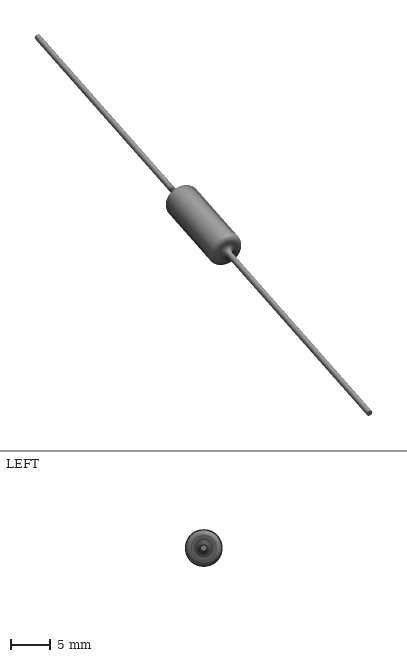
import cadquery as cq

overall_length = 88.9
body_length = 12.7
body_diameter = 4.7
body_edge_radius = 0.75
lead_diameter = 0.81
lead_root_radius = 0.75

half_length = overall_length / 2
half_body = body_length / 2
body_radius = body_diameter / 2
lead_radius = lead_diameter / 2


def half_profile():
    """Closed outline above the X axis: lead, flared root, body, flared root, lead."""
    root_start = half_body + lead_root_radius
    root_outer = lead_radius + lead_root_radius
    face_outer = body_radius - body_edge_radius
    edge_end = half_body - body_edge_radius
    return (
        cq.Workplane("XZ")
        .moveTo(-half_length, 0)
        .lineTo(-half_length, lead_radius)
        .lineTo(-root_start, lead_radius)
        .tangentArcPoint((-half_body, root_outer), relative=False)
        .lineTo(-half_body, face_outer)
        .tangentArcPoint((-edge_end, body_radius), relative=False)
        .lineTo(edge_end, body_radius)
        .tangentArcPoint((half_body, face_outer), relative=False)
        .lineTo(half_body, root_outer)
        .tangentArcPoint((root_start, lead_radius), relative=False)
        .lineTo(half_length, lead_radius)
        .lineTo(half_length, 0)
        .close()
    )


result = half_profile().revolve(360, (0, 0, 0), (1, 0, 0))